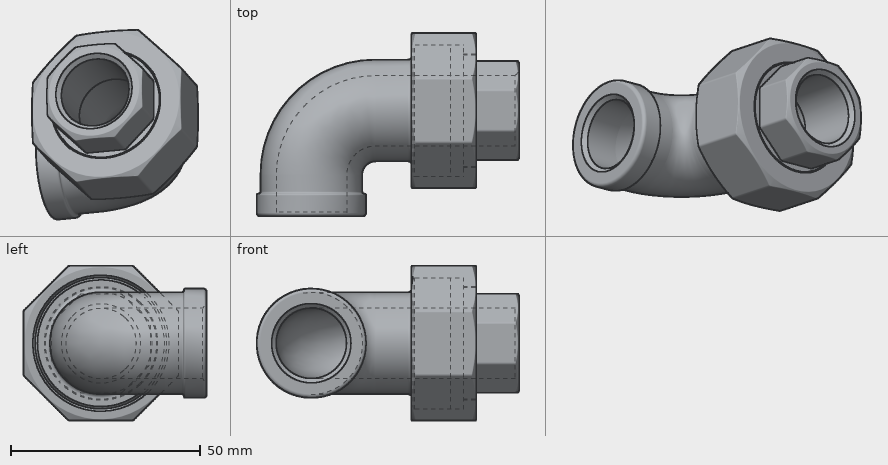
import cadquery as cq
import math


OVERALL_LENGTH = 69.5

PIPE_DIAMETER = 27.0
BEND_RADIUS = 16.95
INLET_LENGTH = 28.0
COLLAR_DIAMETER = 29.0
COLLAR_LENGTH = 5.55
COLLAR_STEP = (COLLAR_DIAMETER - PIPE_DIAMETER) / 2
COLLAR_ROUNDING = 1.0
FLANGE_START = 26.55
FLANGE_FACE_DIAMETER = 33.5

WATERWAY_DIAMETER = 18.6
MOUTH_DIAMETER = 21.0
MOUTH_DEPTH = (MOUTH_DIAMETER - WATERWAY_DIAMETER) / 2

NUT_START = 26.4
NUT_END = 43.65
NUT_ACROSS_FLATS = 41.0
NUT_FACE_DIAMETER = 40.3
NUT_THREAD_DIAMETER = 34.75
NUT_MOUTH_DIAMETER = 36.0
NUT_NECK_DIAMETER = 30.0
NUT_WEB = 3.5

TAIL_NECK_DIAMETER = 29.5
TAIL_FLANGE_THICKNESS = 3.5
TAIL_ACROSS_FLATS = 26.2
TAIL_FACE_DIAMETER = 24.9
TAIL_END = OVERALL_LENGTH - COLLAR_DIAMETER / 2

OCTAGON_SIDES = 8
OCTAGON_EDGE_RADIUS = 1.0
OCTAGON_BEVEL_ANGLE = 30.0
BEVEL_ROUNDING = 0.3

TAIL_FLANGE_END = NUT_END - NUT_WEB
JOINT = TAIL_FLANGE_END - TAIL_FLANGE_THICKNESS


def cylinder_x(diameter, start, end):
    return cq.Workplane("YZ", origin=(start, 0, 0)).circle(diameter / 2).extrude(end - start)


def cone_x(start_diameter, end_diameter, start, end):
    return (
        cq.Workplane("XY")
        .polyline([(start, 0), (start, start_diameter / 2), (end, end_diameter / 2), (end, 0)])
        .close()
        .revolve(360, (0, 0, 0), (1, 0, 0))
    )


def octagon_x(across_flats, start, end):
    """Octagonal bar along X, flat on top, with rounded long edges."""
    across_corners = across_flats / math.cos(math.pi / OCTAGON_SIDES)
    return (
        cq.Workplane("YZ", origin=(start, 0, 0))
        .transformed(rotate=(0, 0, 180 / OCTAGON_SIDES))
        .polygon(OCTAGON_SIDES, across_corners)
        .extrude(end - start)
        .edges("|X")
        .fillet(OCTAGON_EDGE_RADIUS)
    )


def bevel_cone(face_diameter, face, opposite):
    """Cone that opens from a bevelled face; keeping its inside bevels the octagon corners."""
    length = abs(opposite - face)
    spread = 2 * length / math.tan(math.radians(OCTAGON_BEVEL_ANGLE))
    return cone_x(face_diameter, face_diameter + spread, face, opposite)


def bent_rod(diameter, outlet_end):
    """Round rod from the inlet end, around the bend and along X to outlet_end."""
    inlet = (
        cq.Workplane("XZ", origin=(0, -INLET_LENGTH, 0))
        .circle(diameter / 2)
        .extrude(-(INLET_LENGTH - BEND_RADIUS))
    )
    bend = (
        cq.Workplane("XZ", origin=(0, -BEND_RADIUS, 0))
        .circle(diameter / 2)
        .revolve(90, (BEND_RADIUS, 0, 0), (BEND_RADIUS, -1, 0))
    )
    return inlet.union(bend).union(cylinder_x(diameter, BEND_RADIUS, outlet_end))


def inlet_collar():
    radius = COLLAR_DIAMETER / 2
    front = -INLET_LENGTH
    back = front + COLLAR_LENGTH
    blend_radius = COLLAR_STEP / 2
    return (
        cq.Workplane("XY")
        .moveTo(0, front)
        .lineTo(radius - COLLAR_ROUNDING, front)
        .radiusArc((radius, front + COLLAR_ROUNDING), -COLLAR_ROUNDING)
        .lineTo(radius, back)
        .radiusArc((radius - blend_radius, back + blend_radius), -blend_radius)
        .radiusArc((PIPE_DIAMETER / 2, back + COLLAR_STEP), blend_radius)
        .lineTo(0, back + COLLAR_STEP)
        .close()
        .revolve(360, (0, 0, 0), (0, 1, 0))
    )


def union_flange():
    """Threaded end of the elbow: fillet from the pipe, flat face, bevelled rim."""
    pipe_radius = PIPE_DIAMETER / 2
    face_radius = FLANGE_FACE_DIAMETER / 2
    rim_radius = NUT_THREAD_DIAMETER / 2
    return (
        cq.Workplane("XY")
        .moveTo(FLANGE_START - COLLAR_STEP, 0)
        .lineTo(FLANGE_START - COLLAR_STEP, pipe_radius)
        .radiusArc((FLANGE_START, pipe_radius + COLLAR_STEP), -COLLAR_STEP)
        .lineTo(FLANGE_START, face_radius)
        .lineTo(FLANGE_START + rim_radius - face_radius, rim_radius)
        .lineTo(JOINT, rim_radius)
        .lineTo(JOINT, 0)
        .close()
        .revolve(360, (0, 0, 0), (1, 0, 0))
    )


def inlet_mouth():
    front = -INLET_LENGTH
    return (
        cq.Workplane("XY")
        .polyline([(0, front), (MOUTH_DIAMETER / 2, front), (WATERWAY_DIAMETER / 2, front + MOUTH_DEPTH),
                   (0, front + MOUTH_DEPTH)])
        .close()
        .revolve(360, (0, 0, 0), (0, 1, 0))
    )


def make_elbow():
    outside = bent_rod(PIPE_DIAMETER, FLANGE_START).union(inlet_collar()).union(union_flange())
    return outside.cut(bent_rod(WATERWAY_DIAMETER, JOINT)).cut(inlet_mouth())


def round_bevels(octagon):
    return octagon.faces("%CONE").edges().fillet(BEVEL_ROUNDING)


def make_nut():
    """Octagonal nut, bevelled at both ends, bored for the threads and for the tail neck."""
    bevelled = (
        octagon_x(NUT_ACROSS_FLATS, NUT_START, NUT_END)
        .intersect(bevel_cone(NUT_FACE_DIAMETER, NUT_START, NUT_END))
        .intersect(bevel_cone(NUT_FACE_DIAMETER, NUT_END, NUT_START))
    )
    mouth_depth = (NUT_MOUTH_DIAMETER - NUT_THREAD_DIAMETER) / 2
    return (
        round_bevels(bevelled)
        .cut(cylinder_x(NUT_THREAD_DIAMETER, NUT_START, TAIL_FLANGE_END))
        .cut(cone_x(NUT_MOUTH_DIAMETER, NUT_THREAD_DIAMETER, NUT_START, NUT_START + mouth_depth))
        .cut(cylinder_x(NUT_NECK_DIAMETER, TAIL_FLANGE_END, NUT_END))
    )


def make_tail():
    """Flange and neck held inside the nut, with an octagonal end outside it."""
    bevelled = octagon_x(TAIL_ACROSS_FLATS, NUT_END, TAIL_END).intersect(
        bevel_cone(TAIL_FACE_DIAMETER, TAIL_END, NUT_END)
    )
    return (
        round_bevels(bevelled)
        .union(cylinder_x(TAIL_NECK_DIAMETER, TAIL_FLANGE_END, NUT_END))
        .union(cylinder_x(NUT_THREAD_DIAMETER, JOINT, TAIL_FLANGE_END))
        .cut(cylinder_x(WATERWAY_DIAMETER, JOINT, TAIL_END))
        .cut(cone_x(WATERWAY_DIAMETER, MOUTH_DIAMETER, TAIL_END - MOUTH_DEPTH, TAIL_END))
    )


elbow = make_elbow()
nut = make_nut()
tail = make_tail()

result = cq.Compound.makeCompound([elbow.val(), nut.val(), tail.val()])